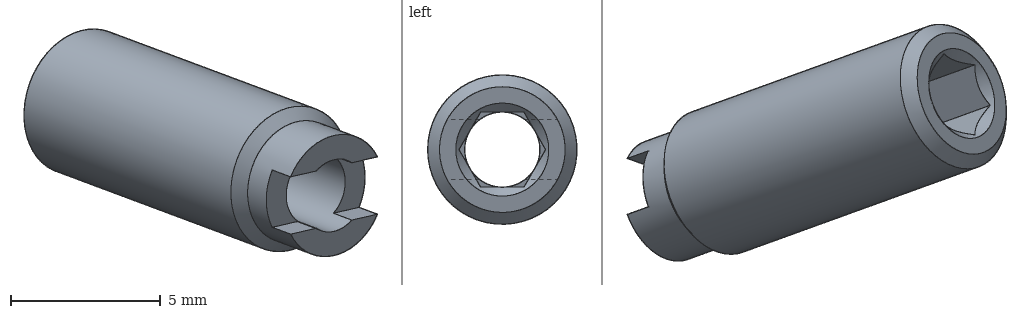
import cadquery as cq
import math

length = 14.0
body_diameter = 5.0
neck_diameter = 4.2
neck_length = 2.0
edge_chamfer = (body_diameter - neck_diameter) / 2

bore_diameter = 2.5
socket_across_flats = bore_diameter
socket_across_corners = socket_across_flats / math.cos(math.pi / 6)
socket_depth = 3.0
countersink_diameter = 3.11
countersink_depth = (countersink_diameter - bore_diameter) / 2

slot_width = 2.0
slot_depth = 1.0


def make_body():
    """Chamfered cylinder with a reduced neck at the +X end."""
    body_radius = body_diameter / 2
    neck_radius = neck_diameter / 2
    shoulder_x = length - neck_length
    profile = [
        (0, 0),
        (0, neck_radius),
        (edge_chamfer, body_radius),
        (shoulder_x - edge_chamfer, body_radius),
        (shoulder_x, neck_radius),
        (length, neck_radius),
        (length, 0),
    ]
    return cq.Workplane("XY").polyline(profile).close().revolve(360, (0, 0, 0), (1, 0, 0))


def make_bore():
    return cq.Workplane("YZ").circle(bore_diameter / 2).extrude(length)


def make_socket():
    """Hexagonal socket with two corners on the Y axis."""
    return cq.Workplane("YZ").polygon(6, socket_across_corners).extrude(socket_depth)


def make_countersink():
    """Conical lead-in narrowing to the bore diameter."""
    profile = [
        (0, 0),
        (0, countersink_diameter / 2),
        (countersink_depth, bore_diameter / 2),
        (countersink_depth, 0),
    ]
    return cq.Workplane("XY").polyline(profile).close().revolve(360, (0, 0, 0), (1, 0, 0))


def make_slot():
    """Slot running through the neck along Y."""
    return (
        cq.Workplane("XY")
        .box(slot_depth, body_diameter, slot_width)
        .translate((length - slot_depth / 2, 0, 0))
    )


result = (
    make_body()
    .cut(make_bore())
    .cut(make_socket())
    .cut(make_countersink())
    .cut(make_slot())
)